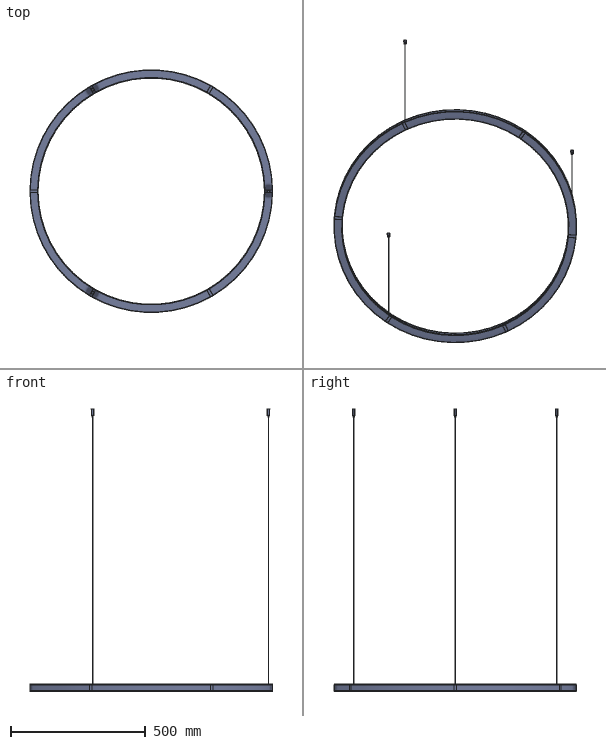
import cadquery as cq

RING_OUTER_D = 900.0
RING_INNER_D = 840.0
RING_HEIGHT = 27.0
CORE_OUTER_D = 898.0
CORE_INNER_D = 844.0
BEVEL_HEIGHT = 3.0
DIFFUSER_HEIGHT = BEVEL_HEIGHT

CLAMP_WIDTH = 10.0
CLAMP_COUNT = 6
GROOVE_DEPTH = (RING_OUTER_D - CORE_OUTER_D) / 2

TOTAL_HEIGHT = 1050.0
CABLE_SPACING = 2
CABLE_D = 1.2
CABLE_CIRCLE_R = (RING_OUTER_D + RING_INNER_D) / 4
FLANGE_D = 10.0
FLANGE_HEIGHT = 1.0
GRIPPER_D = 9.0
GRIPPER_HEIGHT = 23.0
NIPPLE_D = 4.0
NIPPLE_HEIGHT = 6.0


def make_full_ring():
    """Whole ring profile, bevelled at all four edges, revolved about Z."""
    outer_r = RING_OUTER_D / 2
    inner_r = RING_INNER_D / 2
    core_outer_r = CORE_OUTER_D / 2
    core_inner_r = CORE_INNER_D / 2
    return (
        cq.Workplane("XZ")
        .polyline([
            (core_inner_r, 0),
            (core_outer_r, 0),
            (outer_r, BEVEL_HEIGHT),
            (outer_r, RING_HEIGHT - BEVEL_HEIGHT),
            (core_outer_r, RING_HEIGHT),
            (core_inner_r, RING_HEIGHT),
            (inner_r, RING_HEIGHT - BEVEL_HEIGHT),
            (inner_r, BEVEL_HEIGHT),
        ])
        .close()
        .revolve(360, (0, 0, 0), (0, 1, 0))
    )


def make_core():
    """Plain ring left inside the clamps."""
    return (
        cq.Workplane("XY")
        .workplane(offset=GROOVE_DEPTH)
        .circle(CORE_OUTER_D / 2)
        .circle(CORE_INNER_D / 2)
        .extrude(RING_HEIGHT - 2 * GROOVE_DEPTH)
    )


def turn(body, step):
    """Turn a body about Z to one of the clamp positions."""
    return body.rotate((0, 0, 0), (0, 0, 1), step * 360 / CLAMP_COUNT)


def make_clamp(full_ring, core):
    """Thin band around the core, on the +X axis."""
    block = cq.Workplane("XY").box(RING_OUTER_D, CLAMP_WIDTH, RING_HEIGHT, centered=(False, True, False))
    return full_ring.intersect(block).cut(core)


def make_cable():
    """Cable standing on top of the +X clamp, with its nipple, gripper and end flange."""
    flange_base = TOTAL_HEIGHT - FLANGE_HEIGHT
    gripper_base = flange_base - GRIPPER_HEIGHT
    nipple_base = gripper_base - NIPPLE_HEIGHT
    return (
        cq.Workplane("XY", origin=(CABLE_CIRCLE_R, 0, RING_HEIGHT))
        .circle(CABLE_D / 2)
        .extrude(nipple_base - RING_HEIGHT)
        .faces(">Z").workplane().circle(NIPPLE_D / 2).extrude(NIPPLE_HEIGHT)
        .faces(">Z").workplane().circle(GRIPPER_D / 2).extrude(GRIPPER_HEIGHT)
        .faces(">Z").workplane().circle(FLANGE_D / 2).extrude(FLANGE_HEIGHT)
    )


def make_diffuser(grooved_ring):
    """Bottom layer of the grooved ring."""
    layer = cq.Workplane("XY").circle(RING_OUTER_D).extrude(DIFFUSER_HEIGHT)
    return grooved_ring.intersect(layer)


full_ring = make_full_ring()
plain_clamp = make_clamp(full_ring, make_core())
cable_clamp = plain_clamp.union(make_cable())

plain_clamps = []
cable_clamps = []
grooved_ring = full_ring
for step in range(CLAMP_COUNT):
    grooved_ring = grooved_ring.cut(turn(plain_clamp, step))
    if step % CABLE_SPACING == 0:
        cable_clamps.append(turn(cable_clamp, step))
    else:
        plain_clamps.append(turn(plain_clamp, step))

diffuser = make_diffuser(grooved_ring)
housing = grooved_ring.cut(diffuser)

result = cq.Compound.makeCompound([
    housing.val(),
    diffuser.val(),
    *[clamp.val() for clamp in plain_clamps],
    *[clamp.val() for clamp in cable_clamps],
])